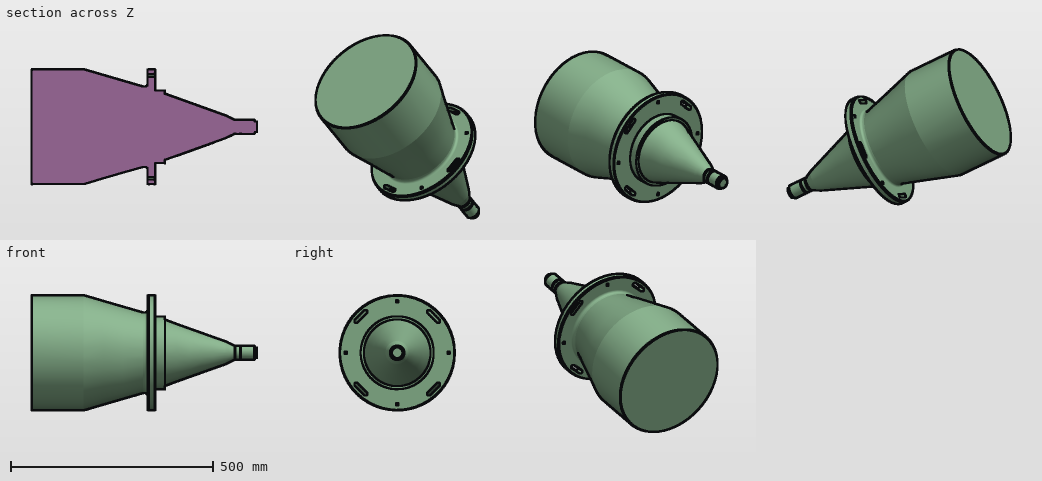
import cadquery as cq
import math

barrel_end = 129.5
neck_start = 277.0
neck_end = 281.0
flange_start = 287.0
flange_end = 306.5
collar_end = 330.0
cone_break = 480.5
stem_start = 502.5
ring_start = 516.5
stem_end = 554.0
total_length = 558.0

body_radius = 143.0
neck_radius = 100.0
collar_radius = 90.5
cone_base_radius = 82.5
cone_break_radius = 28.5
stem_radius = 18.0
tip_radius = 13.5

rim_chamfer = 1.5
flange_chamfer_length = 3.5
flange_chamfer = 1.5
stem_chamfer = 3.0
neck_fillet = flange_start - neck_end
groove_width = 3.0
groove_depth = 0.5

opening_circle_radius = 127.0
slot_length = 42.0
slot_width = 9.5
pin_hole_diameter = 6.0
opening_count = 4


def revolved_body():
    """Barrel, tapered neck, flange, collar, cone and stem in one turned shape."""
    fillet_middle = (
        neck_end + neck_fillet * math.sin(math.radians(45)),
        neck_radius + neck_fillet * (1 - math.cos(math.radians(45))),
    )
    profile = (
        cq.Workplane("XY")
        .moveTo(0, 0)
        .lineTo(0, body_radius - rim_chamfer)
        .lineTo(rim_chamfer, body_radius)
        .lineTo(barrel_end, body_radius)
        .lineTo(neck_start, neck_radius)
        .lineTo(neck_end, neck_radius)
        .threePointArc(fillet_middle, (flange_start, neck_radius + neck_fillet))
        .lineTo(flange_start, body_radius - flange_chamfer)
        .lineTo(flange_start + flange_chamfer_length, body_radius)
        .lineTo(flange_end - flange_chamfer, body_radius)
        .lineTo(flange_end, body_radius - flange_chamfer)
        .lineTo(flange_end, collar_radius)
        .lineTo(collar_end, collar_radius)
        .lineTo(collar_end, cone_base_radius)
        .lineTo(cone_break, cone_break_radius)
        .lineTo(stem_start, stem_radius)
        .lineTo(stem_end - stem_chamfer, stem_radius)
        .lineTo(stem_end, stem_radius - stem_chamfer)
        .lineTo(stem_end, tip_radius)
        .lineTo(total_length, tip_radius)
        .lineTo(total_length, 0)
        .close()
    )
    return profile.revolve(360, (0, 0, 0), (1, 0, 0))


def stem_groove(start):
    """Shallow ring to remove from the stem."""
    return (
        cq.Workplane("YZ", origin=(start, 0, 0))
        .circle(stem_radius + groove_depth)
        .circle(stem_radius - groove_depth)
        .extrude(groove_width)
    )


def flange_openings():
    """Tangential slots on the diagonals and pin holes on the axes, through the flange."""
    flange_face = cq.Workplane("YZ", origin=(flange_start, 0, 0))
    thickness = flange_end - flange_start
    step = 360 / opening_count
    slots = (
        flange_face.polarArray(opening_circle_radius, step / 2, 360, opening_count)
        .slot2D(slot_length, slot_width, 90)
        .extrude(thickness)
    )
    pin_holes = (
        flange_face.polarArray(opening_circle_radius, 0, 360, opening_count)
        .circle(pin_hole_diameter / 2)
        .extrude(thickness)
    )
    return slots.add(pin_holes).combine()


result = revolved_body().cut(flange_openings())
for groove_start in (stem_start, ring_start):
    result = result.cut(stem_groove(groove_start))